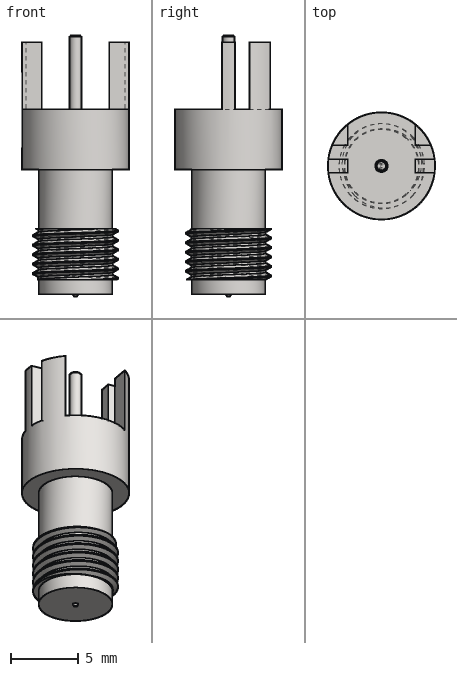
import cadquery as cq
import math

barrel_radius = 2.75
barrel_length = 9.3

flange_radius = 4.0
flange_height = 4.5
flange_top = barrel_length + flange_height

leg_height = 5.0
leg_inner_x = 2.5
middle_leg_half_width = 0.5
side_leg_start_y = 1.55

pin_radius = 0.46
pin_height = 5.5
pin_chamfer = 0.12

tip_height = 0.16
tip_base_radius = 0.22
tip_end_radius = 0.11

thread_pitch = 25.4 / 36
thread_major_radius = 6.35 / 2
flank_tangent = math.tan(math.radians(60 / 2))
sharp_depth = thread_pitch / 2 / flank_tangent
thread_depth = 5 / 8 * sharp_depth
thread_root_radius = thread_major_radius - thread_depth
thread_crest_width = thread_pitch / 8
thread_start = 1.1
thread_end = 4.9
crest_offset = 0.1
thread_overlap = 0.05
lead_turns = 2


def cylinder(radius, bottom, top):
    return cq.Workplane("XY").workplane(offset=bottom).circle(radius).extrude(top - bottom)


def make_thread():
    """Thread core and helical ridge, both cut flat at the two ends."""
    core = cylinder(thread_root_radius, thread_start, thread_end)
    helix_start = thread_start + crest_offset - lead_turns * thread_pitch
    turns = math.ceil((thread_end - helix_start) / thread_pitch) + 1
    helix = cq.Wire.makeHelix(thread_pitch, turns * thread_pitch, thread_root_radius)

    inner_radius = thread_root_radius - thread_overlap
    crest_half = thread_crest_width / 2
    base_half = crest_half + (thread_depth + thread_overlap) * flank_tangent
    ridge = (
        cq.Workplane("XZ")
        .polyline([
            (inner_radius, -base_half),
            (thread_major_radius, -crest_half),
            (thread_major_radius, crest_half),
            (inner_radius, base_half),
        ])
        .close()
        .sweep(cq.Workplane(obj=helix), isFrenet=True)
        .translate((0, 0, helix_start))
    )
    trim = cylinder(flange_radius, thread_start, thread_end)
    return core.union(ridge.intersect(trim))


def make_legs():
    """Two pairs of legs: one pair on the X axis, one pair at the +Y side."""
    inner_xs = (-flange_radius, leg_inner_x)
    leg_length = flange_radius - leg_inner_x
    leg_spans = (
        (-middle_leg_half_width, middle_leg_half_width),
        (side_leg_start_y, flange_radius),
    )
    blocks = cq.Workplane("XY")
    for left_x in inner_xs:
        for y_start, y_end in leg_spans:
            block = cq.Workplane("XY").box(leg_length, y_end - y_start, leg_height, centered=False)
            blocks = blocks.add(block.translate((left_x, y_start, flange_top)))
    envelope = cylinder(flange_radius, flange_top, flange_top + leg_height)
    return envelope.intersect(blocks.combine())


def make_pin():
    pin = cylinder(pin_radius, flange_top, flange_top + pin_height)
    return pin.faces(">Z").chamfer(pin_chamfer)


def make_tip():
    return cq.Workplane(obj=cq.Solid.makeCone(
        tip_base_radius, tip_end_radius, tip_height, dir=cq.Vector(0, 0, -1)
    ))


barrel = cylinder(barrel_radius, 0, barrel_length)
flange = cylinder(flange_radius, barrel_length, flange_top)

result = barrel.union(make_thread())
for feature in (flange, make_legs(), make_pin(), make_tip()):
    result = result.union(feature)